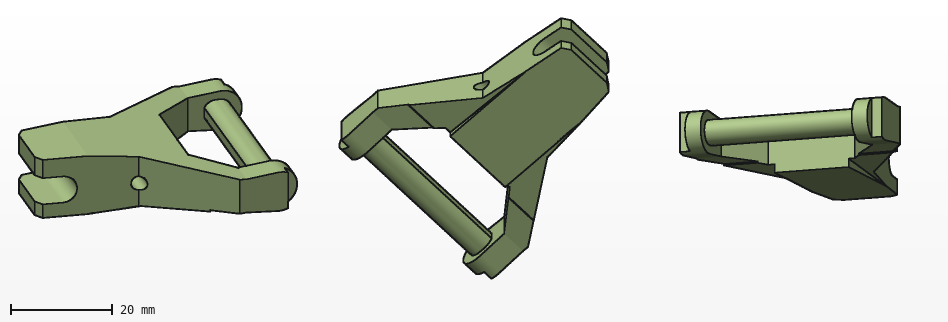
import cadquery as cq
import math

length = 49.6
width = 42.5
height = 12.8

tip_half = 5.0
tip_shoulder_half = 6.75
tip_chamfer = 1.15
waist_half = 9.15
waist_y = 20.15
arm_start_y = 37.05
arm_width = 5.35
arm_inner_half = width / 2 - arm_width
window_front_y = 30.35
window_straight_y = 38.45

axis_z = 5.9
flat_end_y = 10.05
neck_top_z = 9.65
neck_bottom_z = 2.35
step_y = 32.15
step_low_z = 1.85
step_high_z = 2.15
head_radius = 4.25
head_y = length - head_radius

relief_width = 2.1
relief_y = 47.0

plate_half = 7.8

slot_radius = 2.9
slot_depth = 7.95
hole_diameter = 3.0

bar_radius = 2.5
bar_rear_y = 47.45
bar_flat_length = 0.95
bar_front_y = 41.8


def mirrored_outline(right_side):
    """Close a right-hand point list with its mirror image across the YZ plane."""
    left_side = [(-x, y) for x, y in reversed(right_side)]
    return cq.Workplane("XY").polyline(right_side + left_side).close().extrude(height)


def tangent_point(neck_z, side):
    """Point where a line from the neck touches the head; side is +1 above, -1 below."""
    dy = head_y - window_straight_y
    dz = axis_z - neck_z
    distance = math.hypot(dy, dz)
    towards_neck = math.atan2(-dz, -dy)
    angle = towards_neck - side * math.acos(head_radius / distance)
    return head_y + head_radius * math.cos(angle), axis_z + head_radius * math.sin(angle)


def side_body():
    """Side profile extruded across the full width."""
    return (
        cq.Workplane("YZ")
        .moveTo(0, 0)
        .lineTo(flat_end_y, 0)
        .lineTo(step_y, step_low_z)
        .lineTo(step_y, step_high_z)
        .lineTo(window_straight_y, neck_bottom_z)
        .lineTo(*tangent_point(neck_bottom_z, -1))
        .threePointArc((length, axis_z), tangent_point(neck_top_z, 1))
        .lineTo(window_straight_y, neck_top_z)
        .lineTo(flat_end_y, height)
        .lineTo(0, height)
        .close()
        .extrude(width / 2, both=True)
    )


def plan_body():
    """Plan outline with the window between the arms left open at the rear."""
    return mirrored_outline([
        (tip_half, 0),
        (tip_shoulder_half, tip_chamfer),
        (waist_half, waist_y),
        (width / 2, arm_start_y),
        (width / 2, relief_y),
        (width / 2 - relief_width, relief_y),
        (width / 2 - relief_width, length),
        (arm_inner_half, length),
        (arm_inner_half, window_straight_y),
        (waist_half, window_front_y),
    ])


def bottom_plate():
    """Plate that carries the flat underside back to the window."""
    return (
        cq.Workplane("XY")
        .box(2 * plate_half, window_front_y - flat_end_y, axis_z, centered=(True, False, False))
        .translate((0, flat_end_y, 0))
    )


def crossbar():
    """Bar joining the two arms."""
    rear_centre_y = bar_rear_y - bar_radius
    front_centre_y = rear_centre_y - bar_flat_length
    front_half_height = math.sqrt(bar_radius**2 - (front_centre_y - bar_front_y) ** 2)
    mid_angle = (math.pi / 2 + math.asin(front_half_height / bar_radius)) / 2
    mid_y = front_centre_y - bar_radius * math.cos(mid_angle)
    mid_rise = bar_radius * math.sin(mid_angle)
    return (
        cq.Workplane("YZ")
        .moveTo(front_centre_y, axis_z + bar_radius)
        .lineTo(rear_centre_y, axis_z + bar_radius)
        .threePointArc((bar_rear_y, axis_z), (rear_centre_y, axis_z - bar_radius))
        .lineTo(front_centre_y, axis_z - bar_radius)
        .threePointArc((mid_y, axis_z - mid_rise), (bar_front_y, axis_z - front_half_height))
        .lineTo(bar_front_y, axis_z + front_half_height)
        .threePointArc((mid_y, axis_z + mid_rise), (front_centre_y, axis_z + bar_radius))
        .close()
        .extrude(arm_inner_half, both=True)
    )


def fork_slot():
    """Round-ended slot, open at the fork tip and running through in X."""
    slot_centre_y = slot_depth - slot_radius
    return (
        cq.Workplane("YZ")
        .moveTo(0, axis_z - slot_radius)
        .lineTo(slot_centre_y, axis_z - slot_radius)
        .threePointArc((slot_depth, axis_z), (slot_centre_y, axis_z + slot_radius))
        .lineTo(0, axis_z + slot_radius)
        .close()
        .extrude(width / 2, both=True)
    )


def cross_hole():
    """Hole through the waist along X."""
    return (
        cq.Workplane("YZ")
        .center(waist_y, axis_z)
        .circle(hole_diameter / 2)
        .extrude(width / 2, both=True)
    )


body = side_body().intersect(plan_body())
body = body.union(bottom_plate()).union(crossbar())
result = body.cut(fork_slot()).cut(cross_hole())